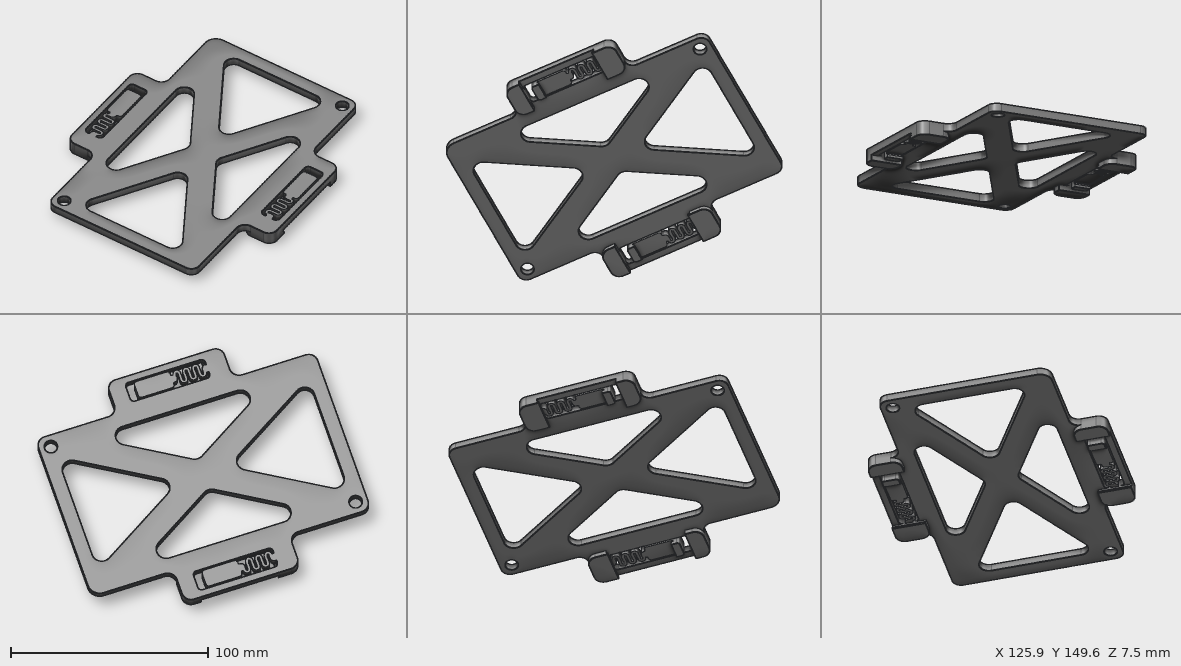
import cadquery as cq
import math

body_width = 90.1
body_length = 149.6
overall_width = 125.9
tab_length = 62.0
overall_height = 7.5
slab_thickness = 4.5
corner_radius = 5.0
large_corner_radius = 6.5
edge_chamfer = 0.3

frame_width = 7.6
brace_width = 14.0
hole_diameter = 6.5
hole_inset = 6.3

foot_width = 17.8
foot_chamfer = 0.37
upper_foot_y = 22.0
lower_foot_y = -20.2
lip_overhang = 1.0
lip_height = 0.9
hook_height = 1.5

slot_width = 10.3
slot_corner_radius = 2.0
latch_width = 9.0
latch_top_y = 17.7
latch_bottom_y = -1.5
latch_corner_radius = 1.5
hook_length = 4.5
stem_width = 4.0
stem_fillet = 0.5
spring_width = 8.0
ribbon_width = 1.5
ribbon_gap = 1.0
spring_runs = 7
spring_clearance = 1.8

slab_bottom = overall_height - slab_thickness
foot_top = slab_bottom + edge_chamfer
tab_center_x = (overall_width + body_width) / 4
ribbon_pitch = ribbon_width + ribbon_gap
bend_inner_radius = ribbon_gap / 2
bend_outer_radius = bend_inner_radius + ribbon_width
last_run_y = lower_foot_y + spring_clearance
first_run_y = last_run_y + (spring_runs - 1) * ribbon_pitch


def block(x_range, y_range, z_range):
    """Axis-aligned box given by its limits on each axis."""
    size = [high - low for low, high in (x_range, y_range, z_range)]
    corner = (x_range[0], y_range[0], z_range[0])
    return cq.Workplane("XY").box(*size, centered=False).translate(corner)


def slab_block(x_range, y_range):
    """Box as thick as the slab."""
    return block(x_range, y_range, (slab_bottom, overall_height))


def window(points):
    """Triangular opening with rounded corners."""
    prism = cq.Workplane("XY").workplane(offset=slab_bottom).polyline(points).close()
    prism = prism.extrude(slab_thickness)
    return prism.edges("|Z").fillet(corner_radius)


def soften(part, face_selector, size):
    """Chamfer every edge of the selected face."""
    return part.faces(face_selector).edges().chamfer(size)


def round_at(part, corners, radius):
    """Fillet the upright edges of the part that stand at the given corners."""
    for x, y in corners:
        nearest = cq.selectors.NearestToPointSelector((x, y, slab_bottom + slab_thickness / 2))
        part = part.edges("|Z").edges(nearest).fillet(radius)
    return part


def make_slab():
    """Flat plate with its windows and mounting holes; one corner is rounder than the others."""
    body = slab_block((-body_width / 2, body_width / 2), (-body_length / 2, body_length / 2))
    tabs = slab_block((-overall_width / 2, overall_width / 2), (-tab_length / 2, tab_length / 2))
    body = body.edges("|Z and <X and >Y").fillet(large_corner_radius)
    body = body.edges("|Z and (>X or <Y)").fillet(corner_radius)
    tabs = tabs.edges("|Z").fillet(corner_radius)
    inner_corners = [(x * body_width / 2, y * tab_length / 2) for x in (-1, 1) for y in (-1, 1)]
    slab = round_at(body.union(tabs), inner_corners, corner_radius)

    slope = body_length / body_width
    brace_angle = math.atan(slope)
    end_tip = brace_width / 2 / math.cos(brace_angle)
    side_tip = brace_width / 2 / math.sin(brace_angle)
    end_y = body_length / 2 - frame_width
    side_x = body_width / 2 - frame_width
    end_half_base = (end_y - end_tip) / slope
    side_half_base = (side_x - side_tip) * slope
    for sign in (-1, 1):
        end_corners = [
            (0, sign * end_tip),
            (-end_half_base, sign * end_y),
            (end_half_base, sign * end_y),
        ]
        side_corners = [
            (sign * side_tip, 0),
            (sign * side_x, -side_half_base),
            (sign * side_x, side_half_base),
        ]
        slab = slab.cut(window(end_corners)).cut(window(side_corners))

    hole_x = body_width / 2 - hole_inset
    hole_y = body_length / 2 - hole_inset
    holes = (
        cq.Workplane("XY")
        .pushPoints([(hole_x, hole_y), (-hole_x, -hole_y)])
        .circle(hole_diameter / 2)
        .extrude(overall_height)
    )
    return slab.cut(holes)


def make_slot():
    """Latch opening in the right-hand tab."""
    half = slot_width / 2
    slot = slab_block((tab_center_x - half, tab_center_x + half), (lower_foot_y, upper_foot_y))
    return slot.edges("|Z").fillet(slot_corner_radius)


def make_feet():
    """Two feet under the right-hand tab; the lower one has an undercut lip."""
    x_range = (overall_width / 2 - foot_width, overall_width / 2)
    upper = block(x_range, (upper_foot_y, tab_length / 2), (0, foot_top))
    upper = upper.edges("|Z and >Y").fillet(corner_radius)
    upper = soften(upper, "<Z", foot_chamfer).edges("|Z and <Y").chamfer(foot_chamfer)
    lip_tip_y = lower_foot_y + lip_overhang
    lower = (
        cq.Workplane("YZ")
        .workplane(offset=x_range[0])
        .moveTo(-tab_length / 2, 0)
        .lineTo(lip_tip_y, 0)
        .lineTo(lip_tip_y, lip_height)
        .lineTo(lower_foot_y, lip_height + lip_overhang)
        .lineTo(lower_foot_y, foot_top)
        .lineTo(-tab_length / 2, foot_top)
        .close()
        .extrude(foot_width)
    )
    lower = soften(lower.edges("|Z and <Y").fillet(corner_radius), "<Z", foot_chamfer)
    return upper.union(lower)


def make_bend(y, side):
    """Half-ring joining the run at y to the next one below it."""
    center_x = tab_center_x + side * (spring_width / 2 - bend_outer_radius)
    center_y = y - ribbon_pitch / 2
    ring = (
        cq.Workplane("XY")
        .workplane(offset=slab_bottom)
        .center(center_x, center_y)
        .circle(bend_outer_radius)
        .circle(bend_inner_radius)
        .extrude(slab_thickness)
    )
    outer_x = center_x + side * bend_outer_radius
    y_range = (center_y - bend_outer_radius, center_y + bend_outer_radius)
    return ring.intersect(slab_block(sorted((center_x, outer_x)), y_range))


def make_latch():
    """Latch tongue and zigzag spring, as thick as the slab."""
    half = latch_width / 2
    tongue = slab_block((tab_center_x - half, tab_center_x + half), (latch_bottom_y, latch_top_y))
    latch = tongue.edges("|Z").fillet(latch_corner_radius)

    bend_x = spring_width / 2 - bend_outer_radius
    for run in range(spring_runs):
        y = first_run_y - run * ribbon_pitch
        left = 0 if run == 0 else -bend_x
        right = 0 if run == spring_runs - 1 else bend_x
        y_range = (y - ribbon_width / 2, y + ribbon_width / 2)
        latch = latch.union(slab_block((tab_center_x + left, tab_center_x + right), y_range))
        if run < spring_runs - 1:
            latch = latch.union(make_bend(y, 1 if run % 2 == 0 else -1))

    left_x = tab_center_x - stem_width / 2
    right_x = tab_center_x + stem_width / 2
    upper_end_y = first_run_y - ribbon_width / 2
    lower_end_y = last_run_y + ribbon_width / 2
    upper_stem = slab_block((left_x, right_x), (upper_end_y, latch_bottom_y))
    lower_stem = slab_block((left_x, right_x), (lower_foot_y - edge_chamfer, lower_end_y))
    latch = latch.union(upper_stem).union(lower_stem)
    latch = round_at(latch, [(left_x, upper_end_y), (right_x, lower_end_y)], bend_outer_radius)
    inner_corners = [
        (left_x, latch_bottom_y),
        (right_x, latch_bottom_y),
        (right_x, first_run_y + ribbon_width / 2),
        (left_x, last_run_y - ribbon_width / 2),
    ]
    return round_at(latch, inner_corners, stem_fillet)


def make_hook():
    """Catch under the free end of the tongue, sloped where it meets the rail."""
    tip_y = latch_top_y - hook_length
    neck_y = tip_y + lip_overhang
    hook = (
        cq.Workplane("YZ")
        .workplane(offset=tab_center_x - latch_width / 2)
        .moveTo(latch_top_y, 0)
        .lineTo(tip_y, 0)
        .lineTo(tip_y, hook_height)
        .lineTo(neck_y, hook_height + lip_overhang)
        .lineTo(neck_y, foot_top)
        .lineTo(latch_top_y, foot_top)
        .close()
        .extrude(latch_width)
    )
    return soften(hook.edges("|Z and >Y").fillet(latch_corner_radius), "<Z", edge_chamfer)


slot = make_slot()
slab = make_slab().cut(slot).cut(slot.mirror("YZ"))
slab = soften(slab, ">Z", edge_chamfer)
slab = soften(slab, "<Z", edge_chamfer)

fittings = make_feet().union(make_latch()).union(make_hook())
result = slab.union(fittings).union(fittings.mirror("YZ"))